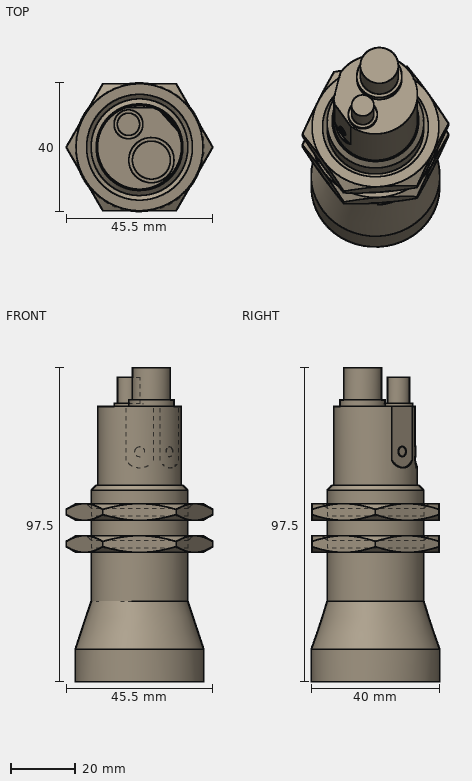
import cadquery as cq
import math

total_height = 97.5
base_diameter = 40.0
base_height = 10.0
cone_top = 25.1
barrel_diameter = 30.0
barrel_top = 61.0
barrel_chamfer = 1.6
neck_diameter = 26.0
neck_top = 85.5

flat_angles = (42.0, 90.0)
flat_offset = 12.3
flat_width = 10.0
lamp_height = 71.5
lamp_diameter = 3.1
lamp_projection = 0.2
lamp_root_depth = 1.0

large_cable_center = (3.7, -4.0)
large_cable_diameter = 11.8
large_collar_diameter = 14.0
large_collar_height = 1.95
small_cable_center = (-3.4, 7.1)
small_cable_diameter = 6.9
small_collar_diameter = 9.0
small_collar_height = 1.0
small_cable_top = 94.6

nut_corner_diameter = 45.5
nut_thickness = 5.2
nut_bottoms = (40.2, 50.1)
nut_face_diameter = 39.4
nut_chamfer_angle = 30.0
countersink_diameter = 32.9


def disc(diameter, bottom, top, center=(0, 0)):
    """Vertical cylinder between two heights."""
    base = cq.Workplane("XY").workplane(offset=bottom)
    return base.center(*center).circle(diameter / 2).extrude(top - bottom)


def make_turned_body():
    """Base, cone, chamfered barrel and neck as one turned profile."""
    base_radius = base_diameter / 2
    barrel_radius = barrel_diameter / 2
    neck_radius = neck_diameter / 2
    return (
        cq.Workplane("XZ")
        .polyline([
            (0, 0),
            (base_radius, 0),
            (base_radius, base_height),
            (barrel_radius, cone_top),
            (barrel_radius, barrel_top - barrel_chamfer),
            (barrel_radius - barrel_chamfer, barrel_top),
            (neck_radius, barrel_top),
            (neck_radius, neck_top),
            (0, neck_top),
        ])
        .close()
        .revolve(360, (0, 0, 0), (0, 1, 0))
    )


def make_flat_cutter(angle):
    """Stock removed outside one flat: a slot open at the neck top, with a round lower end."""
    half_width = flat_width / 2
    return (
        cq.Workplane("YZ")
        .workplane(offset=flat_offset)
        .moveTo(-half_width, neck_top)
        .lineTo(-half_width, lamp_height)
        .threePointArc((0, lamp_height - half_width), (half_width, lamp_height))
        .lineTo(half_width, neck_top)
        .close()
        .extrude(neck_diameter / 2 - flat_offset)
        .rotate((0, 0, 0), (0, 0, 1), angle)
    )


def make_lamp(angle):
    """Low round lamp standing on one flat, rooted in the neck."""
    return (
        cq.Workplane("YZ")
        .workplane(offset=flat_offset - lamp_root_depth)
        .center(0, lamp_height)
        .circle(lamp_diameter / 2)
        .extrude(lamp_root_depth + lamp_projection)
        .rotate((0, 0, 0), (0, 0, 1), angle)
    )


def make_cable(center, diameter, top, collar_diameter, collar_height):
    """Cable stub standing on its collar at the top of the neck."""
    collar = disc(collar_diameter, neck_top, neck_top + collar_height, center)
    return collar.union(disc(diameter, neck_top, top, center))


def make_housing():
    """Turned body with its indicator flats, lamps and cables."""
    large_cable = make_cable(
        large_cable_center, large_cable_diameter, total_height, large_collar_diameter, large_collar_height
    )
    small_cable = make_cable(
        small_cable_center, small_cable_diameter, small_cable_top, small_collar_diameter, small_collar_height
    )
    body = make_turned_body()
    for angle in flat_angles:
        body = body.cut(make_flat_cutter(angle)).union(make_lamp(angle))
    return body.union(large_cable).union(small_cable)


def make_nut(bottom):
    """Hexagonal nut with chamfered corners and a countersunk bore."""
    corner_radius = nut_corner_diameter / 2
    face_radius = nut_face_diameter / 2
    bore_radius = barrel_diameter / 2
    countersink_radius = countersink_diameter / 2
    countersink_depth = countersink_radius - bore_radius
    chamfer_height = (corner_radius - face_radius) * math.tan(math.radians(nut_chamfer_angle))
    hexagon = cq.Workplane("XY").polygon(6, nut_corner_diameter).extrude(nut_thickness)
    turned_ring = (
        cq.Workplane("XZ")
        .polyline([
            (countersink_radius, 0),
            (face_radius, 0),
            (corner_radius, chamfer_height),
            (corner_radius, nut_thickness - chamfer_height),
            (face_radius, nut_thickness),
            (countersink_radius, nut_thickness),
            (bore_radius, nut_thickness - countersink_depth),
            (bore_radius, countersink_depth),
        ])
        .close()
        .revolve(360, (0, 0, 0), (0, 1, 0))
    )
    return hexagon.intersect(turned_ring).translate((0, 0, bottom))


housing = make_housing()
nuts = [make_nut(bottom) for bottom in nut_bottoms]

result = cq.Compound.makeCompound([housing.solids().val(), *[nut.solids().val() for nut in nuts]])